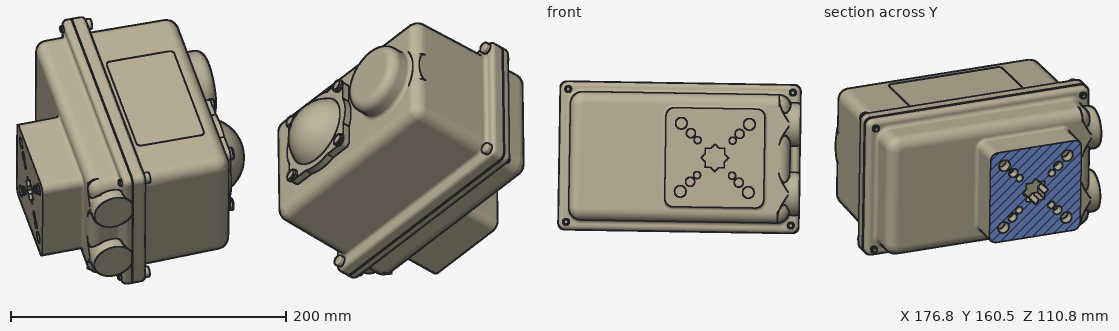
import cadquery as cq
import math

TILT = 0.92

BODY_FRONT = 31.0
FLANGE_BOTTOM = 53.9
SPLIT = 60.9
FLANGE_TOP = 71.2
BODY_BACK = 137.5

FLANGE_X = -25.7
FLANGE_WIDTH, FLANGE_HEIGHT, FLANGE_CORNER = 175.2, 108.13, 5.0
FLANGE_BOTTOM_EDGE = 3.7
FLANGE_TOP_EDGE = 3.3
BODY_X = -25.5
BODY_WIDTH, BODY_HEIGHT, BODY_CORNER = 160.4, 93.4, 9.0
BODY_DRAFT = 1.0
LOWER_EDGE = 8.1
UPPER_EDGE = 8.9
BLEND = 2.9
PAD_BLEND = 2.5
GROOVE = 0.5

PAD_SIDE, PAD_CORNER = 72.0, 6.0
BOLT_CIRCLES = [(70.0, 8.4), (50.0, 6.6), (36.0, 5.1)]
BOLT_HOLE_DEPTH = 15.0
SHAFT_DIAMETER = 25.4
STAR_SQUARE = 14.1
STAR_DEPTH = 20.0

ENTRY_RADIUS = 15.8
ENTRY_SPACING = 50.4
ENTRY_END = 62.0
ENTRY_ROUND_LENGTH, ENTRY_ROUND_DROP = 3.3, 1.1
ENTRY_SETBACK = 0.03
ENTRY_FLARE = 8.5
ENTRY_Y = BODY_FRONT + ENTRY_SETBACK + ENTRY_RADIUS
BODY_RIGHT = BODY_X + BODY_WIDTH / 2

KNOB_X = -71.9
KNOB_RADIUS = 26.1
KNOB_TOP = 154.4
KNOB_EDGE = 7.2
KNOB_PAD_RADIUS = KNOB_RADIUS + UPPER_EDGE

PLATE_TOP = 143.2
PLATE_SIDE, PLATE_CORNER = 59.8, 4.0
PLATE_BULGE_RADIUS = 32.2
DOME_TOP = 160.54
DOME_BASE_RADIUS = 26.5
PLATE_SCREW_SPACING = 51.8
PLATE_SCREW_RADIUS, PLATE_SCREW_HEIGHT, PLATE_SCREW_CHAMFER = 4.6, 2.8, 1.0

SCREW_SPACING_X, SCREW_SPACING_Z = 163.4, 96.6
SCREW_HEAD_RADIUS, SCREW_HEAD_HEIGHT, SCREW_HEAD_EDGE = 4.0, 3.8, 1.2
SCREW_TIP_RADIUS, SCREW_TIP_LENGTH, SCREW_TIP_CHAMFER = 2.4, 2.2, 0.8

LABEL_X = -23.2
LABEL_START, LABEL_END = 75.2, 126.0
LABEL_WIDTH, LABEL_CORNER = 89.3, 3.0
LABEL_RAISE = 0.3


def along_y(y, x=0.0, z=0.0):
    """Sketch plane at level y facing +Y; its local axes are (Z, X)."""
    return cq.Workplane("ZX", origin=(x, y, z))


def rounded_block(x, y_start, y_end, width, height, corner, draft=0.0):
    sketch = cq.Sketch().rect(height, width).vertices().fillet(corner)
    return along_y(y_start, x).placeSketch(sketch).extrude(y_end - y_start, taper=draft)


def disc_y(x, z, y_start, y_end, radius):
    return along_y(y_start, x, z).circle(radius).extrude(y_end - y_start)


def corner_points(spacing_x, spacing_z, centre_x=0.0):
    return [
        (centre_x + side * spacing_x / 2, end * spacing_z / 2)
        for side in (-1, 1)
        for end in (-1, 1)
    ]


def fillet_foot(solid, y, x, width, height, radius):
    """Round the inside corner where a block of this footprint meets the plane at y."""
    reach = 0.3
    box = cq.selectors.BoxSelector(
        (x - width / 2 - reach, y - reach, -height / 2 - reach),
        (x + width / 2 + reach, y + reach, height / 2 + reach),
        boundingbox=True,
    )
    return solid.edges(box).fillet(radius)


def lower_housing():
    block = rounded_block(BODY_X, BODY_FRONT, FLANGE_BOTTOM, BODY_WIDTH, BODY_HEIGHT, BODY_CORNER)
    body = block.faces("<Y").edges().fillet(LOWER_EDGE)
    flange = rounded_block(FLANGE_X, FLANGE_BOTTOM, SPLIT, FLANGE_WIDTH, FLANGE_HEIGHT, FLANGE_CORNER)
    flange = flange.faces("<Y").edges().fillet(FLANGE_BOTTOM_EDGE)
    housing = fillet_foot(body.union(flange), FLANGE_BOTTOM, BODY_X, BODY_WIDTH, BODY_HEIGHT, BLEND)
    for z in (-ENTRY_SPACING / 2, ENTRY_SPACING / 2):
        housing = housing.union(entry_flare(z).intersect(block)).union(cable_entry(z))
    pad = rounded_block(0, 0, BODY_FRONT + PAD_BLEND, PAD_SIDE, PAD_SIDE, PAD_CORNER)
    return fillet_foot(housing.union(pad), BODY_FRONT, 0, PAD_SIDE, PAD_SIDE, PAD_BLEND)


def entry_flare(z):
    """Hollow-curved flare behind the +X wall; only the part inside the body outline is kept."""
    foot_x = BODY_RIGHT - ENTRY_FLARE
    foot_radius = ENTRY_RADIUS + ENTRY_FLARE
    reach = ENTRY_FLARE * math.sqrt(0.5)
    return (
        cq.Workplane("XY")
        .moveTo(foot_x, 0)
        .lineTo(foot_x, foot_radius)
        .threePointArc((BODY_RIGHT - reach, foot_radius - reach), (BODY_RIGHT, ENTRY_RADIUS))
        .lineTo(BODY_RIGHT, 0)
        .close()
        .revolve(360, (0, 0, 0), (1, 0, 0))
        .translate((0, ENTRY_Y, z))
    )


def cable_entry(z):
    """Stub cylinder along X with an eased outer rim, kept below the housing joint."""
    rim_start = ENTRY_END - ENTRY_ROUND_LENGTH
    rim_radius = (ENTRY_ROUND_LENGTH**2 + ENTRY_ROUND_DROP**2) / (2 * ENTRY_ROUND_DROP)
    half_length = ENTRY_ROUND_LENGTH / 2
    half_drop = rim_radius - math.sqrt(rim_radius**2 - half_length**2)
    stub = (
        cq.Workplane("XY")
        .moveTo(BODY_RIGHT, 0)
        .lineTo(BODY_RIGHT, ENTRY_RADIUS)
        .lineTo(rim_start, ENTRY_RADIUS)
        .threePointArc(
            (rim_start + half_length, ENTRY_RADIUS - half_drop),
            (ENTRY_END, ENTRY_RADIUS - ENTRY_ROUND_DROP),
        )
        .lineTo(ENTRY_END, 0)
        .close()
        .revolve(360, (0, 0, 0), (1, 0, 0))
        .translate((0, ENTRY_Y, z))
    )
    below_joint = rounded_block(0, 0, SPLIT - GROOVE, 2 * FLANGE_WIDTH, 2 * FLANGE_WIDTH, FLANGE_CORNER)
    return stub.intersect(below_joint)


def upper_housing():
    block = rounded_block(
        BODY_X, FLANGE_TOP, BODY_BACK, BODY_WIDTH, BODY_HEIGHT, BODY_CORNER, BODY_DRAFT
    )
    body = block.faces(">Y").edges().fillet(UPPER_EDGE)
    flange = rounded_block(FLANGE_X, SPLIT, FLANGE_TOP, FLANGE_WIDTH, FLANGE_HEIGHT, FLANGE_CORNER)
    flange = flange.faces(">Y").edges().fillet(FLANGE_TOP_EDGE)
    housing = fillet_foot(body.union(flange), FLANGE_TOP, BODY_X, BODY_WIDTH, BODY_HEIGHT, BLEND)
    swelling = disc_y(KNOB_X, 0, BODY_BACK - 2 * UPPER_EDGE, BODY_BACK, KNOB_PAD_RADIUS)
    swelling = swelling.faces(">Y").edges().fillet(UPPER_EDGE)
    return housing.union(swelling.intersect(block)).union(knob())


def knob():
    """Round cap with a large top radius and a flared foot."""
    diagonal = math.sqrt(0.5)
    foot_radius = KNOB_RADIUS + BLEND
    foot_y = BODY_BACK + BLEND
    edge_y = KNOB_TOP - KNOB_EDGE
    flat_radius = KNOB_RADIUS - KNOB_EDGE
    return (
        cq.Workplane("XY")
        .moveTo(0, BODY_BACK - BLEND)
        .lineTo(KNOB_RADIUS, BODY_BACK - BLEND)
        .lineTo(foot_radius, BODY_BACK)
        .threePointArc((foot_radius - BLEND * diagonal, foot_y - BLEND * diagonal), (KNOB_RADIUS, foot_y))
        .lineTo(KNOB_RADIUS, edge_y)
        .threePointArc(
            (flat_radius + KNOB_EDGE * diagonal, edge_y + KNOB_EDGE * diagonal),
            (flat_radius, KNOB_TOP),
        )
        .lineTo(0, KNOB_TOP)
        .close()
        .revolve(360, (0, 0, 0), (0, 1, 0))
        .translate((KNOB_X, 0, 0))
    )


def joint_groove():
    ring = rounded_block(
        FLANGE_X, SPLIT - GROOVE / 2, SPLIT + GROOVE / 2,
        FLANGE_WIDTH + 2 * GROOVE, FLANGE_HEIGHT + 2 * GROOVE, FLANGE_CORNER + GROOVE,
    )
    core = rounded_block(
        FLANGE_X, SPLIT - GROOVE, SPLIT + GROOVE,
        FLANGE_WIDTH - 2 * GROOVE, FLANGE_HEIGHT - 2 * GROOVE, FLANGE_CORNER - GROOVE,
    )
    return ring.cut(core)


def indicator():
    """Square base plate with bulged sides, spherical dome and four screws."""
    plate = rounded_block(0, BODY_BACK, PLATE_TOP, PLATE_SIDE, PLATE_SIDE, PLATE_CORNER)
    plate = plate.union(disc_y(0, 0, BODY_BACK, PLATE_TOP, PLATE_BULGE_RADIUS))
    rise = DOME_TOP - PLATE_TOP
    dome_radius = (DOME_BASE_RADIUS**2 + rise**2) / (2 * rise)
    ball = cq.Workplane("XY").sphere(dome_radius).translate((0, DOME_TOP - dome_radius, 0))
    dome = ball.intersect(disc_y(0, 0, PLATE_TOP, DOME_TOP, DOME_BASE_RADIUS))
    unit = plate.union(dome)
    for x, z in corner_points(PLATE_SCREW_SPACING, PLATE_SCREW_SPACING):
        head = disc_y(x, z, PLATE_TOP, PLATE_TOP + PLATE_SCREW_HEIGHT, PLATE_SCREW_RADIUS)
        unit = unit.union(head.faces(">Y").chamfer(PLATE_SCREW_CHAMFER))
    return unit


def flange_screw(x, z):
    head = disc_y(x, z, FLANGE_TOP - FLANGE_TOP_EDGE, FLANGE_TOP + SCREW_HEAD_HEIGHT, SCREW_HEAD_RADIUS)
    head = head.faces(">Y").edges().fillet(SCREW_HEAD_EDGE)
    tip = disc_y(x, z, FLANGE_BOTTOM - SCREW_TIP_LENGTH, FLANGE_TOP, SCREW_TIP_RADIUS)
    return head.union(tip.faces("<Y").chamfer(SCREW_TIP_CHAMFER))


def name_plate():
    """Thin raised panel lying on the drafted +Z wall."""
    length = LABEL_END - LABEL_START
    middle = (LABEL_START + LABEL_END) / 2
    wall_z = BODY_HEIGHT / 2 - (middle - FLANGE_TOP) * math.tan(math.radians(BODY_DRAFT))
    sketch = cq.Sketch().rect(LABEL_WIDTH, length).vertices().fillet(LABEL_CORNER)
    panel = cq.Workplane("XY").placeSketch(sketch).extrude(2 * LABEL_RAISE)
    panel = panel.translate((0, 0, -LABEL_RAISE)).rotate((0, 0, 0), (1, 0, 0), -BODY_DRAFT)
    return panel.translate((LABEL_X, middle, wall_z))


def bolt_holes():
    holes = cq.Workplane("XY")
    for circle, hole in BOLT_CIRCLES:
        spacing = circle * math.sqrt(0.5)
        for x, z in corner_points(spacing, spacing):
            holes = holes.add(disc_y(x, z, 0, BOLT_HOLE_DEPTH, hole / 2))
    return holes.combine()


def star_socket():
    """Eight-pointed socket: two equal squares turned 45 degrees to each other."""
    square = along_y(0).rect(STAR_SQUARE, STAR_SQUARE).extrude(STAR_DEPTH)
    return square.union(square.rotate((0, 0, 0), (0, 1, 0), 45))


part = lower_housing().union(upper_housing()).cut(joint_groove())
part = part.union(indicator()).union(name_plate())
for screw_x, screw_z in corner_points(SCREW_SPACING_X, SCREW_SPACING_Z, FLANGE_X):
    part = part.union(flange_screw(screw_x, screw_z))
part = part.cut(bolt_holes())

shaft = disc_y(0, 0, 0, BODY_FRONT, SHAFT_DIAMETER / 2)
part = part.cut(shaft).union(shaft.cut(star_socket()), clean=False)

result = part.rotate((0, 0, 0), (0, 1, 0), TILT)